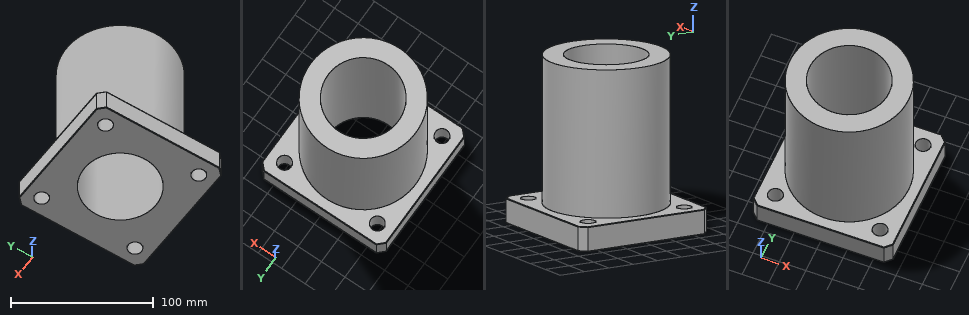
import cadquery as cq

flange_side = 106.0
flange_thickness = 18.0
corner_chamfer = 5.0
edge_chamfer = 0.5

total_height = 125.0
sleeve_diameter = 90.0
bore_diameter = 60.0

bolt_hole_diameter = 11.0
bolt_spacing = 79.2


def make_flange():
    """Square plate with cut corners and a small chamfer around both faces."""
    plate = cq.Workplane("XY").rect(flange_side, flange_side).extrude(flange_thickness)
    plate = plate.edges("|Z").chamfer(corner_chamfer)
    return plate.faces("<Z or >Z").edges().chamfer(edge_chamfer)


def make_sleeve():
    """Solid cylinder from the flange underside to the full height."""
    return cq.Workplane("XY").circle(sleeve_diameter / 2).extrude(total_height)


def make_bore():
    """Central bore through the whole part."""
    return cq.Workplane("XY").circle(bore_diameter / 2).extrude(total_height)


def make_bolt_holes():
    """Four through holes near the flange corners."""
    return (
        cq.Workplane("XY")
        .rect(bolt_spacing, bolt_spacing, forConstruction=True)
        .vertices()
        .circle(bolt_hole_diameter / 2)
        .extrude(flange_thickness)
    )


result = make_flange().union(make_sleeve()).cut(make_bore()).cut(make_bolt_holes())